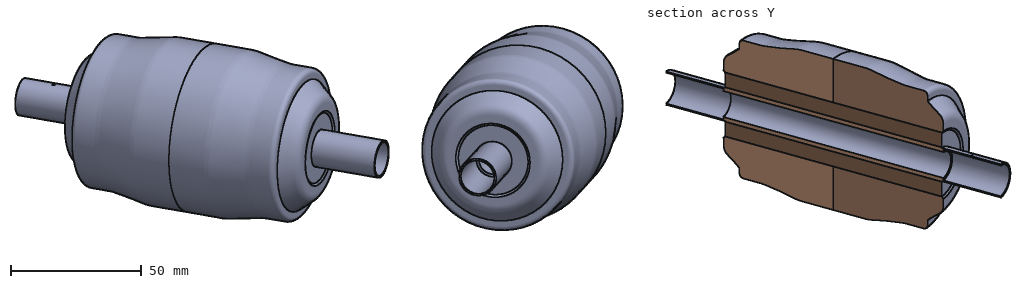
import cadquery as cq

AXIS_START = (0, 0, 0)
AXIS_END = (1, 0, 0)
MATCH_TOLERANCE = 0.01

shell_length = 49.0
crown_radius = 32.8
crown_half_width = 15.5
taper_end = 31.1
rim_radius = 30.0
shoulder = 42.0
nose_radius = 25.8
face_radius = 20.1
bore_chamfer_width = 0.9
bore_chamfer_depth = 0.6
taper_fillet = 10.0
shoulder_fillet = 2.0
nose_fillet = 4.5

core_radius = 13.7
core_half_length = shell_length - bore_chamfer_depth

shaft_length = 149.0
shaft_radius = 7.3
shaft_bore_radius = 5.5
end_bore_radius = 6.5
end_bore_depth = shaft_length / 2 - shell_length

cross_hole_diameter = 0.9
cross_hole_from_end = 13.0


def circles(body, x, radius):
    """Circular edges of the given radius around X, centred at the given X."""
    return [
        edge
        for edge in body.edges("%CIRCLE").vals()
        if abs(edge.Center().x - x) < MATCH_TOLERANCE and abs(edge.radius() - radius) < MATCH_TOLERANCE
    ]


def make_shell():
    """Half of the crowned shell on the +X side."""
    shell = (
        cq.Workplane("XY")
        .moveTo(0, core_radius)
        .lineTo(0, crown_radius)
        .lineTo(crown_half_width, crown_radius)
        .lineTo(taper_end, rim_radius)
        .lineTo(shoulder, rim_radius)
        .lineTo(shoulder, nose_radius)
        .lineTo(shell_length, face_radius)
        .lineTo(shell_length, core_radius + bore_chamfer_width)
        .lineTo(core_half_length, core_radius)
        .close()
        .revolve(360, AXIS_START, AXIS_END)
    )
    fillets = [
        (crown_half_width, crown_radius, taper_fillet),
        (taper_end, rim_radius, taper_fillet),
        (shoulder, rim_radius, shoulder_fillet),
        (shell_length, face_radius, nose_fillet),
    ]
    for x, radius, fillet in fillets:
        shell = shell.newObject(circles(shell, x, radius)).fillet(fillet)
    return shell


def make_core():
    """Sleeve that fills the shell bore around the shaft."""
    return cq.Workplane("YZ").circle(core_radius).circle(shaft_radius).extrude(core_half_length, both=True)


def make_shaft():
    """Through-bored shaft with wider end bores and one cross hole."""
    half_length = shaft_length / 2
    shaft = cq.Workplane("YZ").circle(shaft_radius).circle(shaft_bore_radius).extrude(half_length, both=True)
    for side in (-1, 1):
        end_bore = (
            cq.Workplane("YZ", origin=(side * half_length, 0, 0))
            .circle(end_bore_radius)
            .extrude(-side * end_bore_depth)
        )
        shaft = shaft.cut(end_bore)
    cross_hole = (
        cq.Workplane("XY", origin=(cross_hole_from_end - half_length, 0, 0))
        .circle(cross_hole_diameter / 2)
        .extrude(shaft_radius)
    )
    return shaft.cut(cross_hole)


right_shell = make_shell()
shells = [right_shell, right_shell.mirror("YZ")]
core = make_core()
shaft = make_shaft()

result = cq.Compound.makeCompound([*[shell.val() for shell in shells], core.val(), shaft.val()])